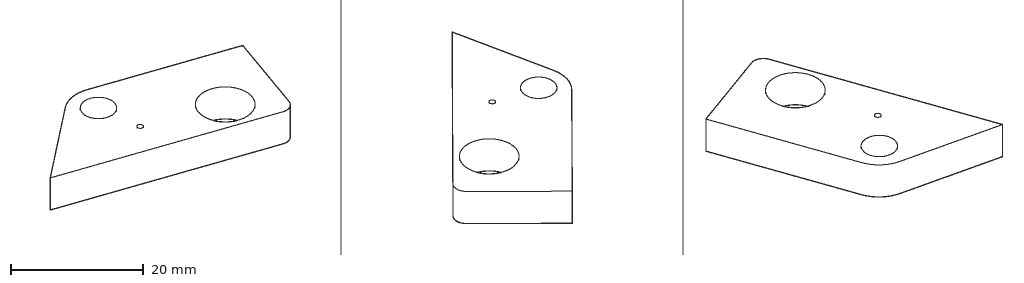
import cadquery as cq
import math

width = 18.0
length = 41.0
thickness = 6.0

slope_angle = 33.0
slope_drop = width * math.tan(math.radians(slope_angle))
left_edge_length = length - slope_drop

top_corner_radius = 2.0
slope_corner_radius = 6.0

large_hole = (12.5, -9.0, 9.0)
medium_hole = (5.0, -26.6, 5.5)
pin_hole = (12.0, -23.0, 1.0)


def round_vertical_edge(body, corner, radius):
    """Fillet the vertical edge closest to the given outline corner."""
    nearest = cq.selectors.NearestToPointSelector((corner[0], corner[1], thickness / 2))
    return body.edges("|Z").edges(nearest).fillet(radius)


def make_plate():
    top_left = (0, 0)
    top_right = (width, 0)
    tip = (width, -length)
    slope_corner = (0, -left_edge_length)
    outline = cq.Workplane("XY").polyline([top_left, top_right, tip, slope_corner]).close()
    plate = outline.extrude(thickness)
    plate = round_vertical_edge(plate, top_right, top_corner_radius)
    return round_vertical_edge(plate, slope_corner, slope_corner_radius)


def make_hole(center_x, center_y, diameter):
    return cq.Workplane("XY").center(center_x, center_y).circle(diameter / 2).extrude(thickness)


result = make_plate()
for hole in (large_hole, medium_hole, pin_hole):
    result = result.cut(make_hole(*hole))